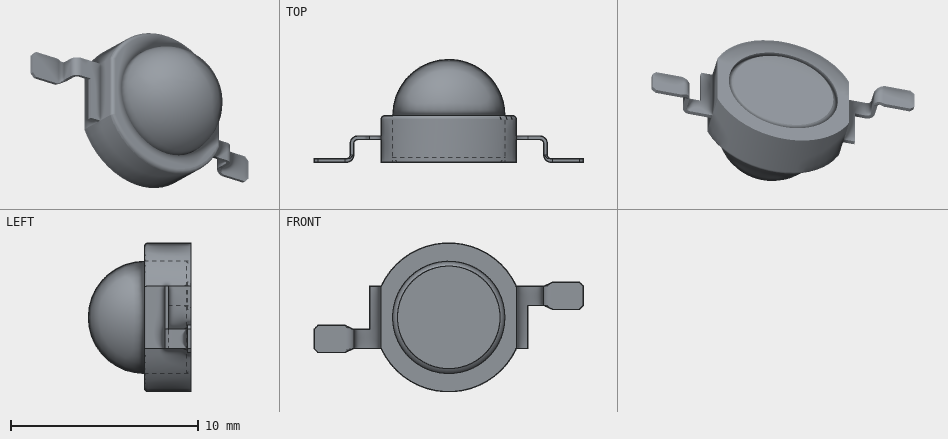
import cadquery as cq
import math

HOUSING_DIAMETER = 7.96
HOUSING_RADIUS = HOUSING_DIAMETER / 2
FLAT_X = 3.61
RIM_FILLET = 0.2

LENS_DIAMETER = 6.0
LENS_RADIUS = LENS_DIAMETER / 2
SLUG_RADIUS = LENS_RADIUS
SLUG_CHAMFER = 0.26
TOTAL_DEPTH = 5.5
HOUSING_DEPTH = TOTAL_DEPTH - LENS_RADIUS

TOTAL_LENGTH = 14.4
TIP_X = TOTAL_LENGTH / 2
SHEET = 0.2
INNER_BEND = 0.2
OUTER_BEND = INNER_BEND + SHEET
LEAD_TOP_Y = 1.41
LEG_OUTER_X = 5.27
BAR_X = 4.23
BAR_HALF_HEIGHT = math.sqrt(HOUSING_RADIUS**2 - FLAT_X**2)
ARM_WIDTH = 1.04
ARM_Z = BAR_HALF_HEIGHT - ARM_WIDTH / 2
FOOT_WIDTH = 1.47
FOOT_CHAMFER = 0.22
FLARE_START_X = 5.1
FLARE_END_X = 5.56
BEND_FLARE = 0.09


def along_y(sketch, depth):
    """Extrude an XZ sketch from Y = 0 toward +Y."""
    return sketch.extrude(-depth)


def make_housing():
    disc = along_y(cq.Workplane("XZ").circle(HOUSING_RADIUS), HOUSING_DEPTH)
    flats = along_y(cq.Workplane("XZ").rect(2 * FLAT_X, 2 * HOUSING_RADIUS), HOUSING_DEPTH)
    slug_hole = along_y(cq.Workplane("XZ").circle(SLUG_RADIUS), HOUSING_DEPTH)
    return disc.intersect(flats).faces(">Y").edges().fillet(RIM_FILLET).cut(slug_hole)


def make_slug():
    slug = along_y(cq.Workplane("XZ").circle(SLUG_RADIUS), HOUSING_DEPTH)
    return slug.faces("<Y").chamfer(SLUG_CHAMFER)


def make_lens():
    """Hemisphere resting on the housing and slug."""
    diagonal = LENS_RADIUS * math.sqrt(0.5)
    return (
        cq.Workplane("XY")
        .moveTo(0, HOUSING_DEPTH)
        .lineTo(LENS_RADIUS, HOUSING_DEPTH)
        .threePointArc((diagonal, HOUSING_DEPTH + diagonal), (0, HOUSING_DEPTH + LENS_RADIUS))
        .close()
        .revolve(360, (0, 0, 0), (0, 1, 0))
    )


def bent_sheet():
    """Sheet with two bends, from the housing flat down to Y = 0 and out to the tip."""
    leg_inner_x = LEG_OUTER_X - SHEET
    upper_bend_x = LEG_OUTER_X - OUTER_BEND
    lower_bend_x = leg_inner_x + OUTER_BEND
    upper_bend_y = LEAD_TOP_Y - OUTER_BEND
    return (
        cq.Workplane("XY")
        .moveTo(FLAT_X, LEAD_TOP_Y)
        .lineTo(upper_bend_x, LEAD_TOP_Y)
        .radiusArc((LEG_OUTER_X, upper_bend_y), OUTER_BEND)
        .lineTo(LEG_OUTER_X, OUTER_BEND)
        .radiusArc((lower_bend_x, SHEET), -INNER_BEND)
        .lineTo(TIP_X, SHEET)
        .lineTo(TIP_X, 0)
        .lineTo(lower_bend_x, 0)
        .radiusArc((leg_inner_x, OUTER_BEND), OUTER_BEND)
        .lineTo(leg_inner_x, upper_bend_y)
        .radiusArc((upper_bend_x, LEAD_TOP_Y - SHEET), -INNER_BEND)
        .lineTo(FLAT_X, LEAD_TOP_Y - SHEET)
        .close()
        .extrude(HOUSING_RADIUS, both=True)
    )


def lead_blank():
    """Flat XZ outline of the lead: bar, narrow arm and flared foot."""
    arm_bottom = ARM_Z - ARM_WIDTH / 2
    foot_top = ARM_Z + FOOT_WIDTH / 2
    foot_bottom = ARM_Z - FOOT_WIDTH / 2
    outline = [
        (FLAT_X, BAR_HALF_HEIGHT),
        (FLARE_START_X, BAR_HALF_HEIGHT),
        (FLARE_END_X, foot_top),
        (TIP_X - FOOT_CHAMFER, foot_top),
        (TIP_X, foot_top - FOOT_CHAMFER),
        (TIP_X, foot_bottom + FOOT_CHAMFER),
        (TIP_X - FOOT_CHAMFER, foot_bottom),
        (FLARE_END_X, foot_bottom),
        (FLARE_START_X, arm_bottom),
        (BAR_X, arm_bottom),
        (BAR_X, -BAR_HALF_HEIGHT),
        (FLAT_X, -BAR_HALF_HEIGHT),
    ]
    return along_y(cq.Workplane("XZ").polyline(outline).close(), LEAD_TOP_Y)


def leg_sides():
    """Side outline that keeps the leg narrow and lets it widen only through the lower bend."""
    half_arm = ARM_WIDTH / 2
    half_foot = FOOT_WIDTH / 2
    upper_side = [
        (LEAD_TOP_Y, half_arm),
        (OUTER_BEND, half_arm),
        (SHEET, half_arm + BEND_FLARE),
        (SHEET, half_foot),
        (0, half_foot),
    ]
    lower_side = [(y, -z) for y, z in reversed(upper_side)]
    return (
        cq.Workplane("YZ", origin=(BAR_X, 0, ARM_Z))
        .polyline(upper_side + lower_side)
        .close()
        .extrude(TIP_X - BAR_X)
    )


def bar_block():
    """Space beside the flat that leaves the bar at its full height."""
    block = cq.Workplane("XZ").rect(2 * BAR_X, 2 * HOUSING_RADIUS)
    return along_y(block, LEAD_TOP_Y)


def make_lead(turn):
    """One lead, turned about the Y axis by the given angle."""
    lead = bent_sheet().intersect(lead_blank()).intersect(bar_block().union(leg_sides()))
    return lead.rotate((0, 0, 0), (0, 1, 0), turn)


housing = make_housing()
slug = make_slug()
lens = make_lens()
leads = [make_lead(turn) for turn in (0, 180)]

result = cq.Compound.makeCompound(
    [housing.val(), slug.val(), lens.val(), *[lead.val() for lead in leads]]
)